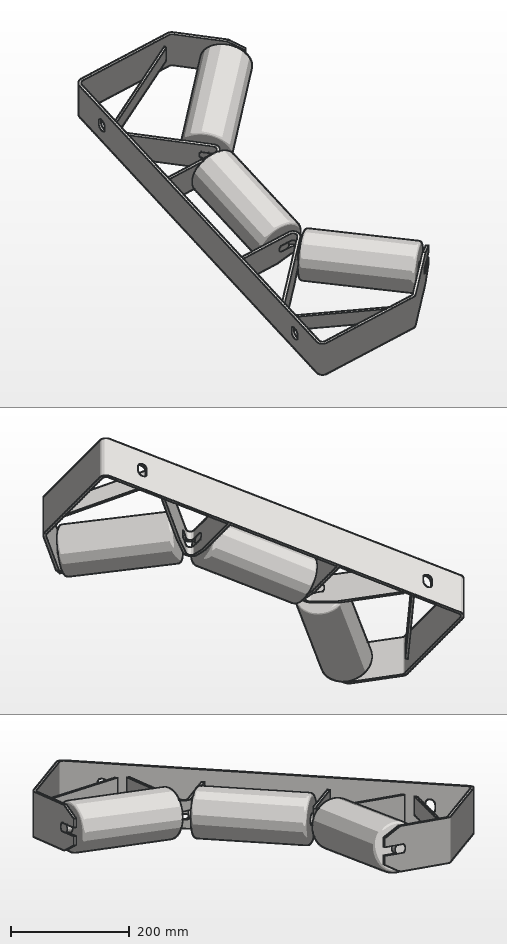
import cadquery as cq
import math

sheet = 5.0
bend_radius = 12.0
diagonal = math.sqrt(0.5)

band_length = 720.0
band_depth = 286.0
band_height = 80.0
arm_bend_y = 194.5
tip_x = band_length / 2 - (band_depth - arm_bend_y)
tip_cut_along = 30.0
tip_cut_height = 16.5
mount_hole_x = 283.0
mount_hole_width = 17.0
mount_hole_height = 26.0

drum_radius = 45.0
drum_length = 200.0
drum_fillet = 6.0
shaft_diameter = 20.0
shaft_flat_width = 15.0
sheet_gap = 6.0
flat_relief = 1.0
slot_cut_length = 86.5
slot_cut_depth = 4 * sheet
face_reach = drum_length / 2 + sheet_gap
shaft_reach = face_reach + sheet

middle_y = 99.0
side_x = 212.0
side_y = 186.0
bracket_slot_z = 33.0
arm_slot_z = band_height / 2
side_z = (arm_slot_z + bracket_slot_z) / 2
side_tilt = math.asin((arm_slot_z - bracket_slot_z) / (2 * shaft_reach))

bracket_height = 59.0
taper_start_y = 85.0
taper_rise = 14.5
weld_depth = 1.0

brace_thickness = 4.0
brace_height = 33.0
brace_foot_x = 261.0
brace_head_y = 180.0


def bent_strip(outer_points, height):
    """Upright strip whose outer face follows the points, every bend turning left."""
    steps = []
    for start, end in zip(outer_points, outer_points[1:]):
        length = math.dist(start, end)
        steps.append(((end[0] - start[0]) / length, (end[1] - start[1]) / length))

    inner_points = []
    for i, (x, y) in enumerate(outer_points):
        before = steps[max(i - 1, 0)]
        after = steps[min(i, len(steps) - 1)]
        share = sheet / (1 + before[0] * after[0] + before[1] * after[1])
        inner_points.append((x - share * (before[1] + after[1]), y + share * (before[0] + after[0])))

    strip = cq.Workplane("XY").polyline(outer_points + inner_points[::-1]).close().extrude(height)
    for points, radius in ((outer_points, bend_radius), (inner_points, bend_radius - sheet)):
        for x, y in points[1:-1]:
            corner = cq.selectors.NearestToPointSelector((x, y, height / 2))
            strip = strip.edges("|Z").edges(corner).fillet(radius)
    return strip


def mirrored(shape):
    return shape.mirror("YZ")


def roller_plane(centre, axis, across):
    """Plane at a roller's centre: local Z runs along the shaft, local X along its slots."""
    return cq.Plane(origin=centre, xDir=across, normal=axis)


def side_plane(side):
    """Plane of the roller on the -X (side = -1) or +X (side = 1) end, its axis pointing outwards."""
    level_step = diagonal * math.cos(side_tilt)
    axis = (side * level_step, level_step, math.sin(side_tilt))
    return roller_plane((side * side_x, side_y, side_z), axis, (-side, 1, 0))


middle_plane = roller_plane((0, middle_y, bracket_slot_z), (-1, 0, 0), (0, 1, 0))
left_plane = side_plane(-1)
right_plane = side_plane(1)


def centred_rod(plane, radius, length):
    return cq.Workplane(plane).workplane(offset=-length / 2).circle(radius).extrude(length)


def make_roller(plane):
    drum = centred_rod(plane, drum_radius, drum_length).edges("%CIRCLE").fillet(drum_fillet)
    flat_start = face_reach - flat_relief
    round_shaft = centred_rod(plane, shaft_diameter / 2, 2 * flat_start)
    flats = cq.Workplane(plane).box(shaft_diameter, shaft_flat_width, 2 * shaft_reach)
    flat_ends = centred_rod(plane, shaft_diameter / 2, 2 * shaft_reach).intersect(flats)
    return drum.union(round_shaft).union(flat_ends)


def shaft_slot(plane, end):
    """Cutter for an open slot that fits the flats; end is +1 or -1 along the roller axis."""
    seat = centred_rod(plane, shaft_diameter / 2, slot_cut_depth)
    opening = cq.Workplane(plane).box(
        slot_cut_length, shaft_flat_width, slot_cut_depth, centered=(False, True, True)
    )
    flats = cq.Workplane(plane).box(shaft_diameter, shaft_flat_width, slot_cut_depth)
    cutter = seat.intersect(flats).union(opening)
    sheet_middle = plane.zDir * (end * (face_reach + sheet / 2))
    return cutter.translate(sheet_middle)


def arm_tip_cuts():
    """Cutters for the upper and lower corners of the left arm tip."""
    plane = cq.Plane(origin=(-tip_x, band_depth, 0), xDir=(-1, -1, 0), normal=(-1, 1, 0))
    cuts = cq.Workplane("XY")
    for edge_z, inward in ((0, 1), (band_height, -1)):
        tip_z = edge_z + inward * tip_cut_height
        corner = [(0, edge_z), (tip_cut_along, edge_z), (0, tip_z)]
        cuts = cuts.add(cq.Workplane(plane).polyline(corner).close().extrude(sheet, both=True))
    return cuts.combine()


def make_band():
    half = band_length / 2
    band = bent_strip(
        [
            (-tip_x, band_depth),
            (-half, arm_bend_y),
            (-half, 0),
            (half, 0),
            (half, arm_bend_y),
            (tip_x, band_depth),
        ],
        band_height,
    )
    for cutter in (arm_tip_cuts(), shaft_slot(left_plane, 1)):
        band = band.cut(cutter).cut(mirrored(cutter))
    holes = (
        cq.Workplane("XZ")
        .pushPoints([(-mount_hole_x, band_height / 2), (mount_hole_x, band_height / 2)])
        .slot2D(mount_hole_height, mount_hole_width, 90)
        .extrude(-sheet)
    )
    return band.cut(holes)


def make_left_bracket():
    slant_offset = side_y + side_x - face_reach / diagonal
    slant_end_y = sheet - weld_depth + sheet * diagonal
    bend_y = slant_offset - face_reach
    points = [
        (-face_reach, sheet - weld_depth),
        (-face_reach, bend_y),
        (slant_end_y - slant_offset, slant_end_y),
    ]
    bracket = bent_strip(points, bracket_height)
    taper = (
        cq.Workplane("YZ")
        .polyline([(taper_start_y, 0), (bend_y, 0), (bend_y, taper_rise)])
        .close()
        .extrude(-band_length / 2)
    )
    bracket = bracket.cut(taper)
    return bracket.cut(shaft_slot(middle_plane, 1)).cut(shaft_slot(left_plane, -1))


def make_left_brace():
    foot = (-brace_foot_x, sheet - weld_depth)
    head = (-band_length / 2 + sheet - weld_depth, brace_head_y)
    width_x = brace_thickness * math.dist(foot, head) / (head[1] - foot[1])
    outline = [foot, (foot[0] + width_x, foot[1]), (head[0] + width_x, head[1]), head]
    brace = cq.Workplane("XY").workplane(offset=(band_height - brace_height) / 2)
    return brace.polyline(outline).close().extrude(brace_height)


frame = make_band()
for half_part in (make_left_bracket(), make_left_brace()):
    frame = frame.union(half_part).union(mirrored(half_part))

rollers = [make_roller(plane) for plane in (left_plane, middle_plane, right_plane)]

result = cq.Compound.makeCompound([frame.val(), *[roller.val() for roller in rollers]])